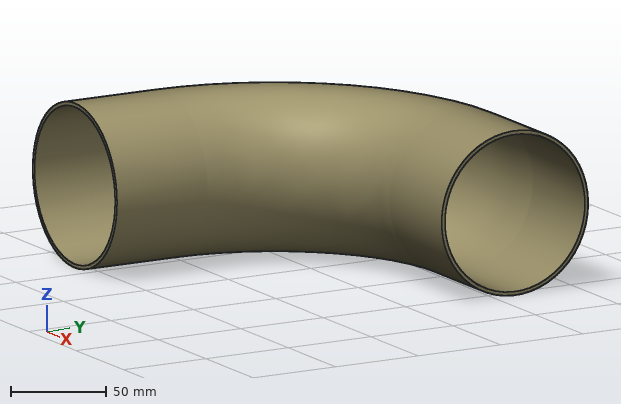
import cadquery as cq

overall_length = 214.0
outer_diameter = 89.0
inner_diameter = 85.0

leg_length = 55.0
bend_radius = overall_length - outer_diameter / 2 - leg_length


def elbow(diameter):
    """Solid 90 degree elbow of round section, from the -Y opening to the +X opening."""
    inlet_leg = (
        cq.Workplane("XZ", origin=(-bend_radius, 0, 0))
        .circle(diameter / 2)
        .extrude(leg_length)
    )
    bend = (
        cq.Workplane("XZ", origin=(-bend_radius, 0, 0))
        .circle(diameter / 2)
        .revolve(90, (bend_radius, 0), (bend_radius, -1))
    )
    outlet_leg = (
        cq.Workplane("YZ", origin=(0, bend_radius, 0))
        .circle(diameter / 2)
        .extrude(leg_length)
    )
    return inlet_leg.union(bend).union(outlet_leg)


result = elbow(outer_diameter).cut(elbow(inner_diameter))